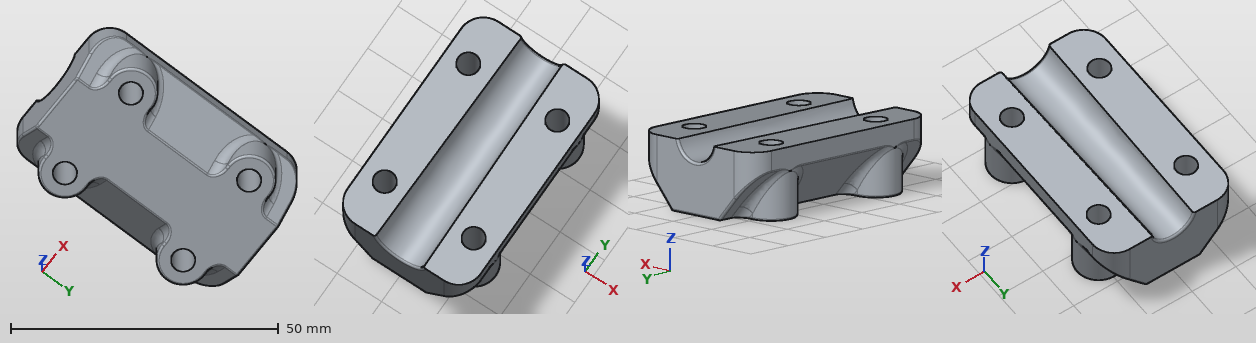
import cadquery as cq

width = 30.0
length = 48.0
height = 14.0
corner_radius = 5.0
edge_round = 0.5

wall_height = 4.0
keel_width = 12.4

hole_diameter = 4.5
hole_spacing_x = 20.0
hole_spacing_y = 28.0
boss_radius = 5.0
boss_blend = 2.0

groove_axis_height = 1.0
groove_front_radius = 5.5
groove_rear_radius = 4.75
groove_mouth_round = 0.5

trim_allowance = 4.8

half_width = width / 2
half_length = length / 2
half_keel = keel_width / 2
slope_run = half_width - half_keel
slope_rise = height - wall_height
slope_gradient = slope_rise / slope_run


def make_underside():
    """Oversize keel with sloped flanks and blended boss ridges, untrimmed outside the block."""
    floor = -trim_allowance
    floor_half_width = half_keel + floor / slope_gradient
    reach = half_width + trim_allowance
    top = (reach - half_keel) * slope_gradient
    end = half_length + trim_allowance

    keel = (
        cq.Workplane("XZ")
        .moveTo(-floor_half_width, floor)
        .lineTo(floor_half_width, floor)
        .lineTo(reach, top)
        .lineTo(-reach, top)
        .close()
        .extrude(end, both=True)
    )
    ridges = (
        cq.Workplane("XY", origin=(0, 0, floor))
        .pushPoints([(0, -hole_spacing_y / 2), (0, hole_spacing_y / 2)])
        .slot2D(hole_spacing_x + 2 * boss_radius, 2 * boss_radius)
        .extrude(height - floor)
    )

    return keel.union(ridges).edges("%ELLIPSE").fillet(boss_blend)


def make_body():
    """Round-cornered block trimmed to the underside, with its lower edges rounded."""
    block = cq.Workplane("XY").box(width, length, height, centered=(True, True, False))
    block = block.edges("|Z").fillet(corner_radius)
    body = block.intersect(make_underside())

    lower_rim = cq.selectors.BoxSelector(
        (-width, -length, edge_round), (width, length, slope_rise + edge_round)
    )
    body = body.faces("<X or >X").edges(lower_rim).fillet(edge_round)
    return body.faces("<Z").edges().fillet(edge_round)


def make_groove_cutter():
    """Cone along Y, wider at the front end, with its axis just above the top face."""
    return cq.Solid.makeCone(
        groove_front_radius,
        groove_rear_radius,
        length,
        pnt=cq.Vector(0, -half_length, height + groove_axis_height),
        dir=cq.Vector(0, 1, 0),
    )


def cut_groove(body):
    """Cut the groove and round its mouth at both ends."""
    mouths = cq.selectors.BoxSelector(
        (-groove_front_radius, -length, slope_rise), (groove_front_radius, length, height)
    )
    grooved = body.cut(cq.Workplane(obj=make_groove_cutter()))
    return grooved.edges("%CIRCLE").edges(mouths).fillet(groove_mouth_round)


def drill_holes(body):
    """Drill the four screw holes through the bosses."""
    top_plane = body.faces(">Z").workplane(origin=(0, 0, height))
    return top_plane.rarray(hole_spacing_x, hole_spacing_y, 2, 2).hole(hole_diameter)


result = drill_holes(cut_groove(make_body()))